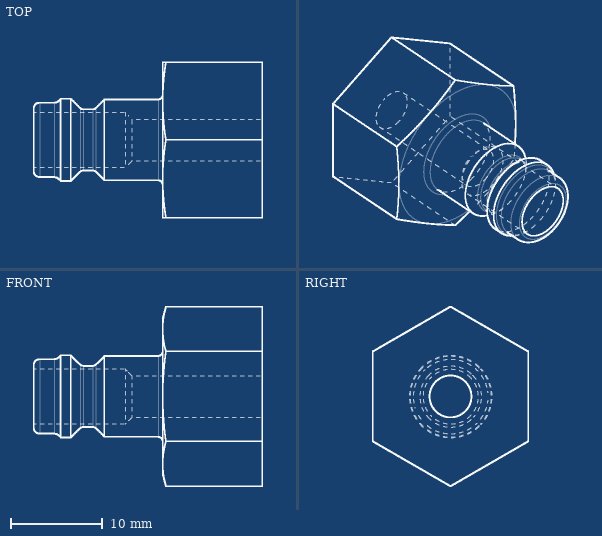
import cadquery as cq
import math

total_length = 25.0
hex_across_flats = 17.0
hex_start = 14.1
hex_chamfer_angle = 15.0

tip_diameter = 8.15
collar_diameter = 9.0
groove_diameter = 6.7
neck_diameter = 8.85

collar_start = 3.0
collar_end = 4.08
neck_start = 7.75

tip_radius = 0.68
collar_fillet = 0.75
groove_fillet = 0.5
neck_fillet = 0.5

entry_diameter = 6.0
entry_depth = 10.0
hole_diameter = 4.55
bore_cone_angle = 90.0


def make_plug():
    """Turned plug with a collar, a locking groove and rounded shoulders."""
    tip_r = tip_diameter / 2
    collar_r = collar_diameter / 2
    groove_r = groove_diameter / 2
    neck_r = neck_diameter / 2
    tip_end = collar_start - (collar_r - tip_r)
    groove_start = collar_end + (collar_r - groove_r)
    groove_end = neck_start - (neck_r - groove_r)

    plug = (
        cq.Workplane("XY")
        .polyline([
            (0, 0),
            (0, tip_r),
            (tip_end, tip_r),
            (collar_start, collar_r),
            (collar_end, collar_r),
            (groove_start, groove_r),
            (groove_end, groove_r),
            (neck_start, neck_r),
            (hex_start, neck_r),
            (hex_start, 0),
        ])
        .close()
        .revolve(360, (0, 0, 0), (1, 0, 0))
    )

    def round_edge(body, station, radius):
        margin = 0.02
        box = cq.selectors.BoxSelector(
            (station - margin, -collar_diameter, -collar_diameter),
            (station + margin, collar_diameter, collar_diameter),
            boundingbox=True,
        )
        return body.edges(box).fillet(radius)

    plug = round_edge(plug, 0, tip_radius)
    plug = round_edge(plug, tip_end, collar_fillet)
    plug = round_edge(plug, groove_start, groove_fillet)
    return round_edge(plug, groove_end, groove_fillet)


def make_hexagon():
    """Hexagon with corners up and down, its front corners turned to a cone."""
    flat_r = hex_across_flats / 2
    corner_r = flat_r / math.cos(math.radians(30))
    hexagon = (
        cq.Workplane("YZ", origin=(hex_start, 0, 0))
        .transformed(rotate=(0, 0, 90))
        .polygon(6, 2 * corner_r)
        .extrude(total_length - hex_start)
    )
    chamfer_length = (corner_r - flat_r) * math.tan(math.radians(hex_chamfer_angle))
    envelope = (
        cq.Workplane("XY")
        .polyline([
            (hex_start, 0),
            (hex_start, flat_r),
            (hex_start + chamfer_length, corner_r),
            (total_length, corner_r),
            (total_length, 0),
        ])
        .close()
        .revolve(360, (0, 0, 0), (1, 0, 0))
    )
    return hexagon.intersect(envelope)


def make_neck_fillet():
    """Concave ring that blends the neck into the hexagon face."""
    neck_r = neck_diameter / 2
    fillet_start = hex_start - neck_fillet
    outer_r = neck_r + neck_fillet
    mid = neck_fillet * math.sqrt(0.5)
    return (
        cq.Workplane("XY")
        .moveTo(fillet_start, 0)
        .lineTo(fillet_start, neck_r)
        .threePointArc((fillet_start + mid, outer_r - mid), (hex_start, outer_r))
        .lineTo(hex_start, 0)
        .close()
        .revolve(360, (0, 0, 0), (1, 0, 0))
    )


def make_bore():
    """Stepped bore right through the part."""
    entry_r = entry_diameter / 2
    hole_r = hole_diameter / 2
    cone_length = (entry_r - hole_r) / math.tan(math.radians(bore_cone_angle / 2))
    return (
        cq.Workplane("XY")
        .polyline([
            (0, 0),
            (0, entry_r),
            (entry_depth, entry_r),
            (entry_depth + cone_length, hole_r),
            (total_length, hole_r),
            (total_length, 0),
        ])
        .close()
        .revolve(360, (0, 0, 0), (1, 0, 0))
    )


result = make_plug().union(make_neck_fillet()).union(make_hexagon()).cut(make_bore())